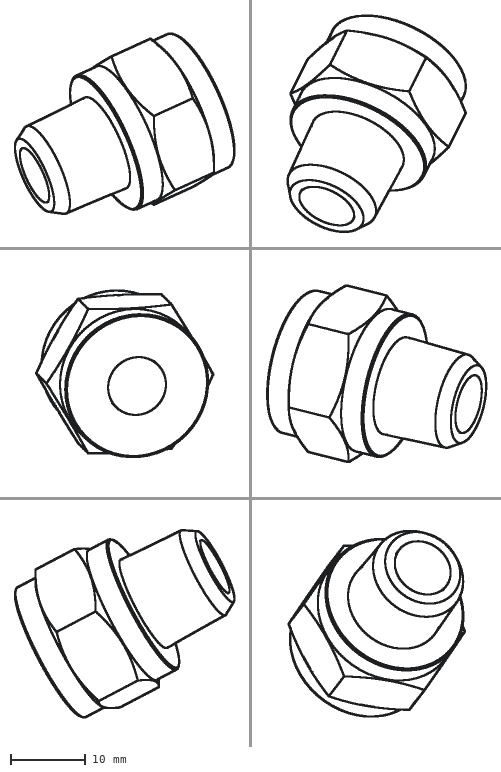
import cadquery as cq
import math

total_length = 25.5
tip_chamfer_length = 1.8
collar_start = 11.0
hex_start = 14.25
hex_end = 22.2

bore_diameter = 8.0
tip_diameter = 10.75
spigot_front_diameter = 12.93
spigot_root_diameter = 13.46
collar_diameter = 19.8

hex_across_flats = 20.0
hex_across_corners = hex_across_flats / math.cos(math.radians(30))
hex_chamfer_angle = 30.0
collar_chamfer = 0.2


def revolve_about_y(points):
    """Revolve a closed (radius, y) outline fully around the Y axis."""
    return cq.Workplane("XY").polyline(points).close().revolve(360, (0, 0, 0), (0, 1, 0))


def make_spigot():
    """Tapered spigot with a conical lead-in at its tip."""
    return revolve_about_y([
        (0, 0),
        (tip_diameter / 2, 0),
        (spigot_front_diameter / 2, tip_chamfer_length),
        (spigot_root_diameter / 2, collar_start),
        (0, collar_start),
    ])


def make_collar():
    """Round body running through the hexagon, with both end edges broken."""
    radius = collar_diameter / 2
    return revolve_about_y([
        (0, collar_start),
        (radius - collar_chamfer, collar_start),
        (radius, collar_start + collar_chamfer),
        (radius, total_length - collar_chamfer),
        (radius - collar_chamfer, total_length),
        (0, total_length),
    ])


def make_hexagon():
    """Wrench hexagon whose corners are turned down by a cone at each end."""
    prism = (
        cq.Workplane("XZ", origin=(0, hex_end, 0))
        .polygon(6, hex_across_corners)
        .extrude(hex_end - hex_start)
    )
    face_radius = collar_diameter / 2
    corner_radius = hex_across_corners / 2
    cone_length = (corner_radius - face_radius) * math.tan(math.radians(hex_chamfer_angle))
    corner_envelope = revolve_about_y([
        (0, hex_start),
        (face_radius, hex_start),
        (corner_radius, hex_start + cone_length),
        (corner_radius, hex_end - cone_length),
        (face_radius, hex_end),
        (0, hex_end),
    ])
    return prism.intersect(corner_envelope)


def make_bore():
    """Straight bore through the full length."""
    return (
        cq.Workplane("XZ", origin=(0, total_length, 0))
        .circle(bore_diameter / 2)
        .extrude(total_length)
    )


result = make_collar().union(make_hexagon()).union(make_spigot()).cut(make_bore())